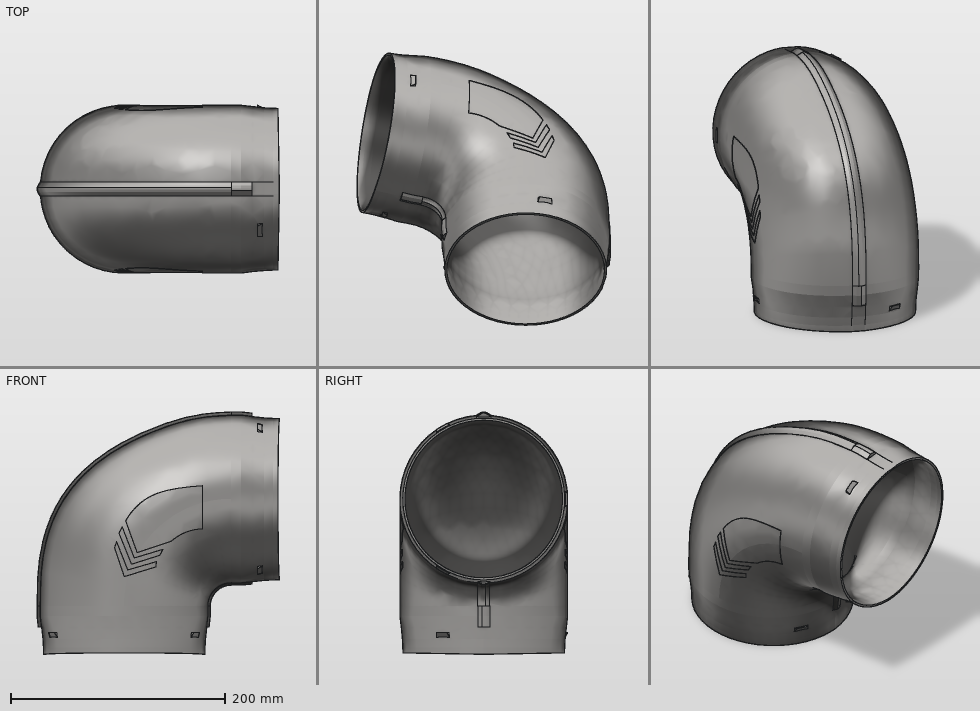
import cadquery as cq
import math

bend_radius = 100.0
body_radius = 78.32
wall = 2.0
section_angles = range(0, 91, 10)

bulge_height = 7.1
bulge_span = 71.0
bulge_skew = 0.9

socket_length = 45.0
taper_start = 9.5
taper_end = 31.0
lip_start = 39.0
taper_end_radius = 76.0
lip_radius = 75.6
rim_radius = 75.5
rim_draft = 1.0

outside = -1
inside = 1

rib_length = 19.5
rib_height = 2.93
rib_half_width = 6.6
inner_rib_sink = 0.8
rib_root = 1.0
rib_crest = [(3.0, 2.2), (0.4, rib_height), (-1.4, rib_height), (-3.1, 1.8)]

groove_half_width = 6.6
groove_floor_half_width = 4.9
groove_depth = 0.5

latch_angles = [-30.0, 90.0, 210.0]
latch_width = 15.0
latch_tip_width = 11.0
latch_start = 24.6
latch_length = 4.5
latch_tip_radius = body_radius
latch_root_radius = 75.0

arrow_depth = 0.4
arrow_cut_start = 40.0
arrow_cut_reach = 50.0
arrow_tail_top = (-27.0, 112.4)
arrow_upper_points = [(-53.4, 109.4), (-77.2, 101.5), (-91.2, 90.0)]
arrow_upper_barb = (-98.5, 79.5)
arrow_tip = (-87.8, 50.0)
arrow_lower_barb = (-56.0, 60.6)
arrow_lower_mid = (-42.9, 68.8)
arrow_tail_bottom = (-27.0, 72.1)
chevrons = [
    [(-101.8, 74.1), (-104.8, 68.0), (-93.0, 39.2), (-66.8, 47.5), (-63.6, 53.1), (-90.5, 45.0)],
    [(-107.0, 60.3), (-108.9, 54.5), (-99.8, 27.6), (-70.4, 36.6), (-69.8, 41.6), (-96.6, 33.8)],
]

taper_slope = (body_radius - taper_end_radius) / (taper_end - taper_start)


def both_ends(lower):
    """The lower socket together with its mirror image at the other end of the bend."""
    return lower.union(lower.mirror(cq.Vector(1, 0, 1)))


def bulge(angle):
    """Extra outward reach of the back of the elbow at a bend angle counted from the lower socket."""
    if angle >= bulge_span:
        return 0.0
    phase = math.pi * (angle / bulge_span) ** bulge_skew
    return bulge_height * math.sin(phase) ** 2


def radial_plane(angle):
    """Section plane through the bend axis; local x points at the axis, local y along +Y."""
    turn = math.radians(angle)
    return cq.Plane(
        origin=(0, 0, 0),
        xDir=(math.cos(turn), 0, -math.sin(turn)),
        normal=(-math.sin(turn), 0, -math.cos(turn)),
    )


def loft_sections(wires):
    return cq.Workplane(cq.Solid.makeLoft(wires))


def bend_section(angle, radius):
    """Half circle towards the bend axis, half ellipse on the bulging back."""
    reach = radius + bulge(angle)
    section = (
        cq.Workplane(radial_plane(angle))
        .moveTo(-bend_radius, -radius)
        .threePointArc((-bend_radius + radius, 0), (-bend_radius, radius))
    )
    if reach > radius:
        section = section.ellipseArc(reach, radius, angle1=90, angle2=270)
    else:
        section = section.threePointArc((-bend_radius - radius, 0), (-bend_radius, -radius))
    return section.close().wire().val()


def bend(radius):
    """Solid quarter bend between the two sockets."""
    return loft_sections([bend_section(angle, radius) for angle in section_angles])


def socket(inset):
    """Solid of revolution of the lower socket, shrunk by inset."""
    profile = [
        (0, 0),
        (body_radius - inset, 0),
        (body_radius - inset, -taper_start),
        (taper_end_radius - inset, -taper_end),
        (lip_radius - inset, -lip_start),
        (rim_radius - inset, -socket_length),
        (0, -socket_length),
    ]
    turned = cq.Workplane("XZ").polyline(profile).close().revolve(360, (0, 0), (0, 1))
    return turned.translate((-bend_radius, 0, 0))


def rim_trim():
    """Wedges that cut the lower rim back by the draft angle on both sides of the parting plane."""
    reach = 2 * body_radius
    rise = reach * math.tan(math.radians(rim_draft))
    outline = [
        (0, -socket_length),
        (reach, -socket_length + rise),
        (reach, -socket_length - rise),
        (-reach, -socket_length - rise),
        (-reach, -socket_length + rise),
    ]
    wedges = cq.Workplane("YZ").polyline(outline).close().extrude(reach, both=True)
    return wedges.translate((-bend_radius, 0, 0))


def rib_outline(side, drop):
    """Rib cross-section in (x, y), sunk by drop towards the socket axis."""
    sink = inner_rib_sink if side == inside else 0
    section = [(rib_half_width, -rib_root), (rib_half_width, 0)]
    section += rib_crest
    section += [(-rib_half_width, 0), (-rib_half_width, -rib_root)]
    return [(-bend_radius + side * (body_radius + height - sink - drop), y) for y, height in section]


def rib_section(side, angle):
    drop = -bulge(angle) if side == outside else 0
    return cq.Workplane(radial_plane(angle)).polyline(rib_outline(side, drop)).close().wire().val()


def bend_rib(side):
    return loft_sections([rib_section(side, angle) for angle in section_angles])


def loft_down(start, start_outline, end, end_outline):
    """Ruled loft between two horizontal outlines at distances start and end below the bend."""
    return (
        cq.Workplane("XY", origin=(0, 0, -start))
        .polyline(start_outline)
        .close()
        .workplane(offset=start - end)
        .polyline(end_outline)
        .close()
        .loft(ruled=True)
    )


def socket_rib(side):
    """Straight run of the rib followed by a run that sinks with the socket taper."""
    full = rib_outline(side, 0)
    sunk = rib_outline(side, taper_slope * (rib_length - taper_start))
    straight = loft_down(0, full, taper_start, full)
    return straight.union(loft_down(taper_start, full, rib_length, sunk))


def latch(angle):
    """Snap wedge: square catch towards the bend, ramp running out towards the rim."""
    ramp = (
        cq.Workplane("XZ")
        .polyline([
            (latch_root_radius, -latch_start),
            (latch_tip_radius, -latch_start),
            (taper_end_radius, -latch_start - latch_length),
            (latch_root_radius, -latch_start - latch_length),
        ])
        .close()
        .extrude(latch_width / 2, both=True)
    )
    flanks = (
        cq.Workplane("XY", origin=(0, 0, -latch_start - latch_length))
        .polyline([
            (latch_root_radius, -latch_width / 2),
            (latch_root_radius, latch_width / 2),
            (latch_tip_radius, latch_tip_width / 2),
            (latch_tip_radius, -latch_tip_width / 2),
        ])
        .close()
        .extrude(latch_length)
    )
    wedge = ramp.intersect(flanks).rotate((0, 0, 0), (0, 0, 1), angle)
    return wedge.translate((-bend_radius, 0, 0))


def flow_arrow():
    """Skin of the bend inside the arrow and chevron outlines, on both flanks."""
    flank = cq.Workplane("XZ", origin=(0, -arrow_cut_start, 0))
    arrow = (
        flank.moveTo(*arrow_tail_top)
        .spline(arrow_upper_points + [arrow_upper_barb], includeCurrent=True)
        .lineTo(*arrow_tip)
        .lineTo(*arrow_lower_barb)
        .threePointArc(arrow_lower_mid, arrow_tail_bottom)
        .close()
        .extrude(arrow_cut_reach)
    )
    for outline in chevrons:
        arrow = arrow.union(flank.polyline(outline).close().extrude(arrow_cut_reach))
    arrow = arrow.union(arrow.mirror("XZ"))
    return arrow.cut(bend(body_radius - arrow_depth))


def groove_outline(radius):
    """Trapezoid in (x, y) on the outside of the socket, open towards -X."""
    floor = radius - groove_depth
    brim = math.sqrt(radius**2 - groove_half_width**2)
    corners = [
        (radius + groove_depth, groove_half_width),
        (brim, groove_half_width),
        (floor, groove_floor_half_width),
        (floor, -groove_floor_half_width),
        (brim, -groove_half_width),
        (radius + groove_depth, -groove_half_width),
    ]
    return [(-bend_radius - reach, y) for reach, y in corners]


def seam_groove():
    """Groove following the socket surface from the rib end to the rim."""
    stations = [
        (rib_length, body_radius - taper_slope * (rib_length - taper_start)),
        (taper_end, taper_end_radius),
        (lip_start, lip_radius),
        (socket_length, rim_radius),
    ]
    groove = cq.Workplane("XY")
    for (start, start_radius), (end, end_radius) in zip(stations, stations[1:]):
        run = loft_down(start, groove_outline(start_radius), end, groove_outline(end_radius))
        groove = groove.union(run)
    return groove


def finished_bend():
    body = bend(body_radius).cut(bend(body_radius - wall)).cut(flow_arrow())
    for side in (outside, inside):
        body = body.union(bend_rib(side))
    return body


def finished_socket():
    body = socket(0).cut(socket(wall))
    for side in (outside, inside):
        body = body.union(socket_rib(side))
    for angle in latch_angles:
        body = body.union(latch(angle))
    return body.cut(seam_groove()).cut(rim_trim())


result = finished_bend().union(both_ends(finished_socket()))